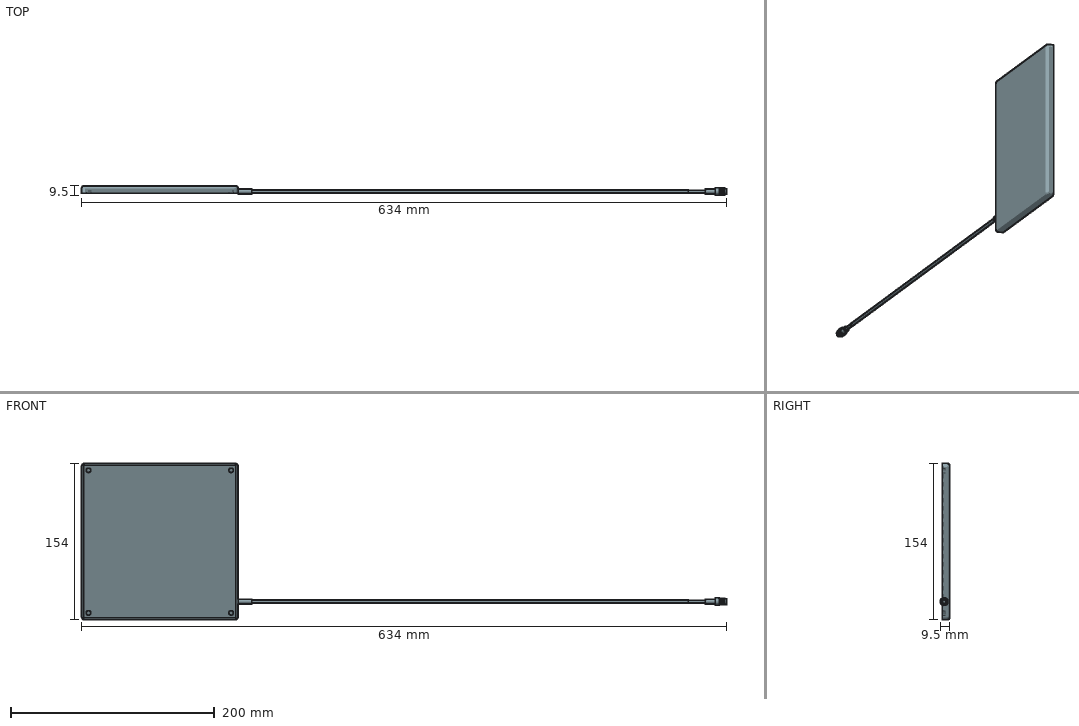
import cadquery as cq

total_length = 634.0
total_depth = 9.5

panel_side = 154.0
panel_depth = 7.5
corner_radius = 4.0
rear_edge_radius = 2.85

rim_width = 2.2
recess_depth = 0.3

hole_diameter = 4.5
hole_depth = 2.5
hole_inset = 7.0

cable_diameter = 3.0
cable_drop = 59.0
strain_relief_length = 13.5
strain_relief_diameter = 5.0

neck_diameter = 2.85
neck_length = 17.0
ferrule_diameter = 5.0
ferrule_length = 9.5
flange_diameter = 7.5
flange_length = 4.0
nut_across_corners = 7.5
nut_length = 6.0
tip_diameter = 6.0
tip_length = 2.0
socket_diameter = 4.0
socket_depth = 6.5
nut_groove_count = 3
nut_groove_width = 0.5
nut_groove_diameter = 6.0

panel_rear = panel_depth / 2
panel_front = -panel_depth / 2
panel_center = panel_side / 2
cable_height = panel_center - cable_drop
cable_y = panel_rear - total_depth + flange_diameter / 2
nut_start = total_length - tip_length - nut_length
flange_start = nut_start - flange_length
ferrule_start = flange_start - ferrule_length
neck_start = ferrule_start - neck_length


def panel_plane(y):
    """Workplane facing -Y, centred on the panel at the given depth."""
    return cq.Workplane("XZ", origin=(panel_center, y, panel_center))


def axis_plane(x):
    """Workplane facing +X, centred on the cable axis."""
    return cq.Workplane("YZ", origin=(x, cable_y, cable_height))


def axis_cylinder(start_x, length, diameter):
    return axis_plane(start_x).circle(diameter / 2).extrude(length)


def make_panel():
    plate = panel_plane(panel_rear).rect(panel_side, panel_side).extrude(panel_depth)
    plate = plate.edges("|Y").fillet(corner_radius)
    plate = plate.faces(">Y").edges().fillet(rear_edge_radius)

    recess_side = panel_side - 2 * rim_width
    recess = panel_plane(panel_front + recess_depth).rect(recess_side, recess_side).extrude(recess_depth)

    hole_spacing = panel_side - 2 * hole_inset
    holes = (
        panel_plane(panel_front + hole_depth)
        .rect(hole_spacing, hole_spacing, forConstruction=True)
        .vertices()
        .circle(hole_diameter / 2)
        .extrude(hole_depth)
    )
    return plate.cut(recess).cut(holes)


def make_nut():
    """Hexagonal coupling nut with ring grooves."""
    nut = axis_plane(nut_start).polygon(6, nut_across_corners).extrude(nut_length)
    groove_pitch = nut_length / (nut_groove_count + 1)
    for index in range(nut_groove_count):
        groove_start = nut_start + (index + 1) * groove_pitch - nut_groove_width / 2
        groove = axis_plane(groove_start).circle(nut_across_corners).circle(nut_groove_diameter / 2)
        nut = nut.cut(groove.extrude(nut_groove_width))
    return nut


def make_connector():
    neck = axis_cylinder(neck_start, neck_length, neck_diameter)
    ferrule = axis_cylinder(ferrule_start, ferrule_length, ferrule_diameter)
    flange = axis_cylinder(flange_start, flange_length, flange_diameter)
    tip = axis_cylinder(total_length - tip_length, tip_length, tip_diameter)
    socket = axis_cylinder(total_length - socket_depth, socket_depth, socket_diameter)
    return neck.union(ferrule).union(flange).union(make_nut()).union(tip).cut(socket)


strain_relief = axis_cylinder(panel_side, strain_relief_length, strain_relief_diameter)
cable = axis_cylinder(panel_side, neck_start - panel_side, cable_diameter)

result = make_panel().union(strain_relief).union(cable).union(make_connector())